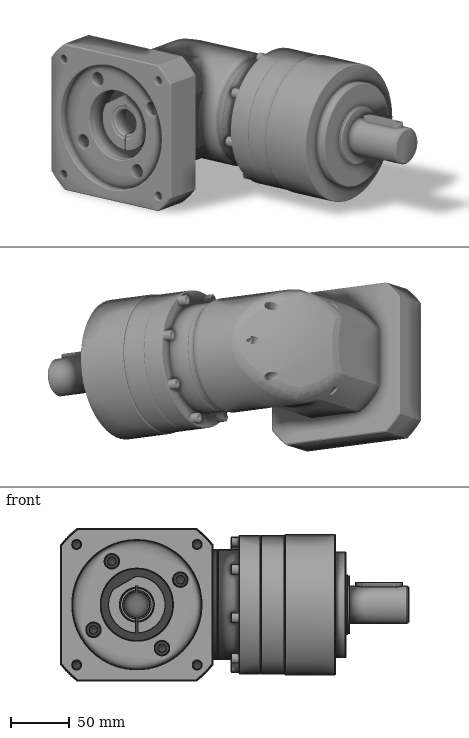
import cadquery as cq
import math


OVERALL_LENGTH = 297

PLATE_HALF_WIDTH = 65.0
PLATE_CORNER_RADIUS = 82.5
PLATE_FRONT_Y = -113.5
PLATE_THICKNESS = 34.8
PLATE_CHAMFER = 1.0
PLATE_BACK_Y = PLATE_FRONT_Y + PLATE_THICKNESS
PILOT_RADIUS = 55.0
PILOT_DEPTH = 9.0
PILOT_FLOOR_Y = PLATE_FRONT_Y + PILOT_DEPTH
HUB_BORE_RADIUS = 30.5
BORE_CHAMFER = 0.5
MOTOR_HOLE_OFFSET = 51.5
MOTOR_HOLE_RADIUS = 3.5
MOTOR_HOLE_DEPTH = 23.8
PLATE_SCREW_COUNT = 4
PLATE_SCREW_CIRCLE = 42.8
PLATE_SCREW_ANGLE = 30
PLATE_SCREW_HEAD_RADIUS = 6.0
PLATE_SCREW_HEAD_DEPTH = 15.0
PLATE_SCREW_RADIUS = 3.5
PLATE_SCREW_DEPTH = 22.3
HOLE_CHAMFER = 0.5
DRILL_TIP_ANGLE = 118

HUB_RADIUS = 24.0
HUB_FLAT_DISTANCE = 21.5
HUB_FLAT_ANGLE = 120
HUB_SETBACK = 10.5
HUB_FRONT_Y = PILOT_FLOOR_Y + HUB_SETBACK
HUB_MOUTH_RADIUS = 15.0
HUB_MOUTH_DEPTH = 1.0
SHAFT_BORE_RADIUS = 11.0
SHAFT_BORE_CHAMFER = 1.2
SLIT_WIDTH = 2.0
SLIT_TOP_REACH = 16.0

LEG_HALF_WIDTH = 45.0
LEG_CORNER_RADIUS = 51.0
BARREL_RADIUS = 49.0
BARREL_SHOULDER_X = 58.2
NECK_RADIUS = 47.0
NECK_START_X = 63.3
ELBOW_END_X = 69.0
DOME_RADIUS = 124.8
DOME_HEIGHT = 30.5
DOME_FILLET = 15.0
INNER_BEND_FILLET = 1.5
COVER_SCREW_CIRCLE = 43.0
COVER_SCREW_HEAD_RADIUS = 3.5
COVER_SCREW_RADIUS = 1.8
COVER_SCREW_DEPTH = 6.0
EDGE_SEARCH_MARGIN = 0.3
COVER_SCREW_SEATS = [(0, 7.5), (45, 0.0), (-45, 0.0), (120, -25.3), (-120, -25.3)]

FLANGE_FACE_X = 87.0
RING_START_X = 105.8
OUTPUT_START_X = 126.3
OUTPUT_END_X = 169.3
RING_RADIUS = 59.0
OUTPUT_RADIUS = 60.0
OUTPUT_PILOT_RADIUS = 45.2
OUTPUT_PILOT_END_X = 178.3
SEAL_LIP_RADIUS = 25.3
SEAL_LIP_END_X = 179.5
GEARBOX_CHAMFER = 0.5
BOLT_COUNT = 8
BOLT_CIRCLE = 54.7
BOLT_START_ANGLE = 11.7
BOLT_HEAD_RADIUS = 4.2
BOLT_HEAD_HEIGHT = 6.8
BOLT_SOCKET_WIDTH = 4.2
BOLT_SOCKET_DEPTH = 3.5

COLLAR_RADIUS = 24.7
COLLAR_END_X = 181.2
SHAFT_RADIUS = 16.0
SHAFT_END_X = OVERALL_LENGTH - PLATE_HALF_WIDTH
SHAFT_CHAMFER = 1.5
KEY_START_X = 186.5
KEY_LENGTH = 40.0
KEY_WIDTH = 10.0
KEY_BOTTOM_Z = 11.0
KEY_TOP_Z = 19.0


def disc_x(start_x, end_x, radius):
    """Cylinder along X between two stations."""
    return cq.Workplane("YZ", origin=(start_x, 0, 0)).circle(radius).extrude(end_x - start_x)


def disc_y(start_y, end_y, radius, x=0, z=0):
    """Cylinder along Y between two stations."""
    disc = cq.Solid.makeCylinder(radius, end_y - start_y, cq.Vector(x, start_y, z), cq.Vector(0, 1, 0))
    return cq.Workplane(obj=disc)


def box_between(low, high):
    """Box between two opposite corners."""
    size = [b - a for a, b in zip(low, high)]
    return cq.Workplane("XY").box(*size, centered=False).translate(low)


def rounded_square(half_width, corner_radius, start_y, end_y):
    """Square bar along Y whose corners are turned to a circle about Y."""
    square = box_between((-half_width, start_y, -half_width), (half_width, end_y, half_width))
    return square.intersect(disc_y(start_y, end_y, corner_radius))


def cone_y(start_y, radius, end_radius, height, x, z):
    """Cone along +Y."""
    cone = cq.Solid.makeCone(radius, end_radius, height, cq.Vector(x, start_y, z), cq.Vector(0, 1, 0))
    return cq.Workplane(obj=cone)


def drilled_hole_y(start_y, radius, depth, x, z):
    """Blind hole along +Y with a conical drill tip."""
    tip_height = radius / math.tan(math.radians(DRILL_TIP_ANGLE / 2))
    hole = disc_y(start_y, start_y + depth, radius, x, z)
    return hole.union(cone_y(start_y + depth, radius, 0, tip_height, x, z))


def chamfered_mouth_y(start_y, radius, chamfer, x=0, z=0):
    """Conical chamfer at the mouth of a hole along +Y."""
    return cone_y(start_y, radius + chamfer, radius, chamfer, x, z)


def make_adapter():
    """Motor adapter plate with its pilot recess, hub bore and screw holes."""
    plate = rounded_square(PLATE_HALF_WIDTH, PLATE_CORNER_RADIUS, PLATE_FRONT_Y, PLATE_BACK_Y)
    plate = plate.faces("<Y or >Y").chamfer(PLATE_CHAMFER)
    plate = plate.cut(disc_y(PLATE_FRONT_Y, PILOT_FLOOR_Y, PILOT_RADIUS))
    plate = plate.cut(chamfered_mouth_y(PLATE_FRONT_Y, PILOT_RADIUS, BORE_CHAMFER))
    plate = plate.cut(disc_y(PILOT_FLOOR_Y, PLATE_BACK_Y, HUB_BORE_RADIUS))
    plate = plate.cut(chamfered_mouth_y(PILOT_FLOOR_Y, HUB_BORE_RADIUS, BORE_CHAMFER))

    for x in (-MOTOR_HOLE_OFFSET, MOTOR_HOLE_OFFSET):
        for z in (-MOTOR_HOLE_OFFSET, MOTOR_HOLE_OFFSET):
            plate = plate.cut(drilled_hole_y(PLATE_FRONT_Y, MOTOR_HOLE_RADIUS, MOTOR_HOLE_DEPTH, x, z))
            plate = plate.cut(chamfered_mouth_y(PLATE_FRONT_Y, MOTOR_HOLE_RADIUS, HOLE_CHAMFER, x, z))

    head_floor_y = PILOT_FLOOR_Y + PLATE_SCREW_HEAD_DEPTH
    for i in range(PLATE_SCREW_COUNT):
        angle = math.radians(PLATE_SCREW_ANGLE + 360 / PLATE_SCREW_COUNT * i)
        x = PLATE_SCREW_CIRCLE * math.cos(angle)
        z = PLATE_SCREW_CIRCLE * math.sin(angle)
        plate = plate.cut(drilled_hole_y(PILOT_FLOOR_Y, PLATE_SCREW_RADIUS, PLATE_SCREW_DEPTH, x, z))
        plate = plate.cut(disc_y(PILOT_FLOOR_Y, head_floor_y, PLATE_SCREW_HEAD_RADIUS, x, z))
        plate = plate.cut(chamfered_mouth_y(PILOT_FLOOR_Y, PLATE_SCREW_HEAD_RADIUS, HOLE_CHAMFER, x, z))
    return plate


def make_clamp_hub():
    """Slit hub that clamps the motor shaft, with one flat on its rim."""
    hub = disc_y(HUB_FRONT_Y, PLATE_BACK_Y, HUB_RADIUS)
    flat = box_between(
        (HUB_FLAT_DISTANCE, HUB_FRONT_Y, -HUB_RADIUS),
        (HUB_RADIUS, PLATE_BACK_Y, HUB_RADIUS),
    )
    hub = hub.cut(flat.rotate((0, 0, 0), (0, -1, 0), HUB_FLAT_ANGLE))
    mouth_floor_radius = HUB_MOUTH_RADIUS - HUB_MOUTH_DEPTH
    hub = hub.cut(chamfered_mouth_y(HUB_FRONT_Y, mouth_floor_radius, HUB_MOUTH_DEPTH))
    hub = hub.cut(disc_y(HUB_FRONT_Y, PLATE_BACK_Y, SHAFT_BORE_RADIUS))
    hub = hub.cut(chamfered_mouth_y(HUB_FRONT_Y + HUB_MOUTH_DEPTH, SHAFT_BORE_RADIUS, SHAFT_BORE_CHAMFER))
    slit = box_between(
        (-SLIT_WIDTH / 2, HUB_FRONT_Y, -HUB_RADIUS),
        (SLIT_WIDTH / 2, PLATE_BACK_Y, SLIT_TOP_REACH),
    )
    return hub.cut(slit)


def edges_in_box(body, low, high):
    """Edges of a body whose middle lies between two opposite corners."""
    return body.edges(cq.selectors.BoxSelector(low, high))


def make_barrel():
    """Barrel turned about X, with a rounded shoulder down to the neck."""
    shoulder_run = NECK_START_X - BARREL_SHOULDER_X
    shoulder_drop = BARREL_RADIUS - NECK_RADIUS
    shoulder_radius = (shoulder_run**2 + shoulder_drop**2) / (2 * shoulder_drop)
    half_turn = math.asin(shoulder_run / shoulder_radius) / 2
    shoulder_middle = (
        BARREL_SHOULDER_X + shoulder_radius * math.sin(half_turn),
        BARREL_RADIUS - shoulder_radius * (1 - math.cos(half_turn)),
    )
    return (
        cq.Workplane("XY")
        .moveTo(-LEG_HALF_WIDTH, 0)
        .lineTo(-LEG_HALF_WIDTH, BARREL_RADIUS)
        .lineTo(BARREL_SHOULDER_X, BARREL_RADIUS)
        .threePointArc(shoulder_middle, (NECK_START_X, NECK_RADIUS))
        .lineTo(ELBOW_END_X - GEARBOX_CHAMFER, NECK_RADIUS)
        .lineTo(ELBOW_END_X, NECK_RADIUS - GEARBOX_CHAMFER)
        .lineTo(ELBOW_END_X, 0)
        .close()
        .revolve(360, (0, 0, 0), (1, 0, 0))
    )


def make_elbow():
    """Elbow housing: a square leg and a round barrel joined under a shallow dome."""
    leg = rounded_square(LEG_HALF_WIDTH, LEG_CORNER_RADIUS, PLATE_BACK_Y, 0)
    barrel = make_barrel()

    closed_end = disc_y(-BARREL_RADIUS, BARREL_RADIUS, LEG_CORNER_RADIUS)
    open_end = box_between((0, -BARREL_RADIUS, -BARREL_RADIUS), (ELBOW_END_X, BARREL_RADIUS, BARREL_RADIUS))
    elbow = leg.union(barrel.intersect(closed_end.union(open_end)))

    dome_center = (DOME_RADIUS - DOME_HEIGHT) / math.sqrt(2)
    dome = cq.Workplane("XY").sphere(DOME_RADIUS).translate((dome_center, -dome_center, 0))
    elbow = elbow.intersect(dome)

    end_reach = LEG_HALF_WIDTH / 2
    rounded = elbow.faces("%SPHERE").edges()
    for low_z, high_z in ((LEG_HALF_WIDTH, BARREL_RADIUS), (-BARREL_RADIUS, -LEG_HALF_WIDTH)):
        end_low = (-end_reach, -end_reach, low_z)
        end_high = (-EDGE_SEARCH_MARGIN, end_reach, high_z)
        rounded = rounded.add(edges_in_box(elbow, end_low, end_high))
    elbow = rounded.fillet(DOME_FILLET)

    bend_low = (LEG_HALF_WIDTH / 2, -BARREL_RADIUS - EDGE_SEARCH_MARGIN, -LEG_HALF_WIDTH)
    bend_high = (LEG_HALF_WIDTH + EDGE_SEARCH_MARGIN, -LEG_HALF_WIDTH / 2, LEG_HALF_WIDTH)
    elbow = edges_in_box(elbow, bend_low, bend_high).fillet(INNER_BEND_FILLET)

    for angle, floor_x in COVER_SCREW_SEATS:
        y = COVER_SCREW_CIRCLE * math.cos(math.radians(angle))
        z = COVER_SCREW_CIRCLE * math.sin(math.radians(angle))
        head = disc_x(-LEG_HALF_WIDTH, floor_x, COVER_SCREW_HEAD_RADIUS)
        pilot = disc_x(floor_x, floor_x + COVER_SCREW_DEPTH, COVER_SCREW_RADIUS)
        elbow = elbow.cut(head.union(pilot).translate((0, y, z)))
    return elbow


def make_bolt_head():
    """Socket head seated on the flange face, centred on the gearbox axis."""
    start_x = FLANGE_FACE_X - BOLT_HEAD_HEIGHT
    head = disc_x(start_x, FLANGE_FACE_X, BOLT_HEAD_RADIUS).faces("<X").chamfer(GEARBOX_CHAMFER)
    hexagon = cq.Workplane("YZ", origin=(start_x, 0, 0)).polygon(6, BOLT_SOCKET_WIDTH)
    return head.cut(hexagon.extrude(BOLT_SOCKET_DEPTH))


def make_flange():
    """Input flange with its neck and a ring of fixed bolt heads."""
    neck = disc_x(ELBOW_END_X, FLANGE_FACE_X, NECK_RADIUS).faces("<X").chamfer(GEARBOX_CHAMFER)
    ring = disc_x(FLANGE_FACE_X, RING_START_X, RING_RADIUS).faces("<X or >X").chamfer(GEARBOX_CHAMFER)
    flange = neck.union(ring)
    bolt_head = make_bolt_head().translate((0, BOLT_CIRCLE, 0))
    for i in range(BOLT_COUNT):
        angle = BOLT_START_ANGLE + 360 / BOLT_COUNT * i
        flange = flange.union(bolt_head.rotate((0, 0, 0), (1, 0, 0), angle))
    return flange


def make_ring_gear():
    """Outer ring between the flange and the output housing."""
    ring = disc_x(RING_START_X, OUTPUT_START_X, RING_RADIUS)
    return ring.faces("<X or >X").chamfer(GEARBOX_CHAMFER)


def make_output_housing():
    """Output housing with its pilot and seal lip."""
    body = disc_x(OUTPUT_START_X, OUTPUT_END_X, OUTPUT_RADIUS).faces("<X or >X").chamfer(GEARBOX_CHAMFER)
    pilot = disc_x(OUTPUT_END_X, OUTPUT_PILOT_END_X, OUTPUT_PILOT_RADIUS)
    seal_lip = disc_x(OUTPUT_PILOT_END_X, SEAL_LIP_END_X, SEAL_LIP_RADIUS)
    return body.union(pilot.faces(">X").chamfer(GEARBOX_CHAMFER)).union(seal_lip)


def make_key():
    """Round-ended key standing proud of the shaft."""
    key = cq.Workplane("XY", origin=(KEY_START_X + KEY_LENGTH / 2, 0, KEY_BOTTOM_Z))
    return key.slot2D(KEY_LENGTH, KEY_WIDTH).extrude(KEY_TOP_Z - KEY_BOTTOM_Z)


def make_output_shaft(key):
    """Output shaft with its collar and a keyway that fits the key."""
    collar = disc_x(SEAL_LIP_END_X, COLLAR_END_X, COLLAR_RADIUS)
    journal = disc_x(COLLAR_END_X, SHAFT_END_X, SHAFT_RADIUS).faces(">X").chamfer(SHAFT_CHAMFER)
    return collar.union(journal).cut(key)


adapter = make_adapter()
clamp_hub = make_clamp_hub()
elbow = make_elbow()
flange = make_flange()
ring_gear = make_ring_gear()
output_housing = make_output_housing()
key = make_key()
output_shaft = make_output_shaft(key)

result = cq.Compound.makeCompound([
    adapter.val(),
    clamp_hub.val(),
    elbow.val(),
    flange.val(),
    ring_gear.val(),
    output_housing.val(),
    output_shaft.val(),
    key.val(),
])